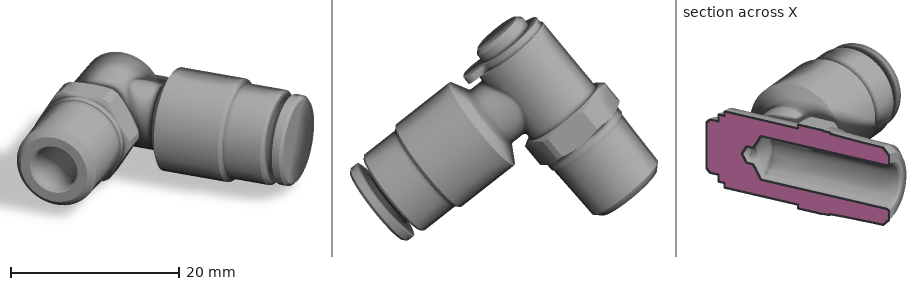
import cadquery as cq
import math


body_radius = 5.0
body_half_length = 5.0
ring_thickness = 0.88
stem_radius = 3.5
stem_end = 7.5
stem_chamfer = 0.52

ring_radius = 4.4
ring_center_x = -0.37
tab_end_x = 6.4
tab_half_width = 2.3
tab_corner_radius = 1.3
tab_root_radius = 1.0

hex_across_flats = 10.95
hex_corner_radius = 6.1
hex_length = 3.53
hex_face_radius = 5.45
hex_chamfer_angle = 30

collar_radius = 5.42
collar_length = 0.9
thread_top_radius = 5.27
thread_tip_radius = 5.05
thread_end = -17.5
thread_chamfer = 0.82

bore_radius = 2.8
bore_mouth_chamfer = 0.25
bore_shoulder_y = 0.0
pilot_radius = 1.05
pilot_length = 0.9
drill_point_angle = 118

neck_radius = 4.02
neck_body_fillet = 0.37
neck_cone_fillet = 0.52
sleeve_diameter = 12.5
sleeve_radius = sleeve_diameter / 2
sleeve_start = 8.35
sleeve_cone_angle = 60
sleeve_end = 16.5
sleeve_step = 0.45
socket_radius = 5.75
socket_end = 22.0
socket_chamfer = 0.3
throat_radius = 4.47
collet_neck_radius = 3.65
collet_neck_start = 22.53
flange_radius = 5.48
flange_start = 23.07
flange_root_fillet = 0.25
flange_end = 24.35
flange_chamfer = 0.37

pick_margin = 0.3

hex_top = -body_half_length
hex_bottom = hex_top - hex_length
collar_bottom = hex_bottom - collar_length
ring_top = body_half_length + ring_thickness


def turn_about_y(points):
    """Solid of revolution about Y from (radius, y) points."""
    return cq.Workplane("XY").polyline(points).close().revolve(360, (0, 0, 0), (0, 1, 0))


def turn_about_x(points):
    """Solid of revolution about X from (x, radius) points."""
    return cq.Workplane("XY").polyline(points).close().revolve(360, (0, 0, 0), (1, 0, 0))


def disc_y(radius, bottom, top):
    """Plain cylinder along Y."""
    return turn_about_y([(0, bottom), (radius, bottom), (radius, top), (0, top)])


def make_stem():
    return turn_about_y([
        (0, 0),
        (stem_radius, 0),
        (stem_radius, stem_end - stem_chamfer),
        (stem_radius - stem_chamfer, stem_end),
        (0, stem_end),
    ])


def make_retaining_ring():
    """Off-center disc with a rounded tab toward +X."""
    base = cq.Workplane("XZ", origin=(ring_center_x, ring_top, 0))
    disc = base.circle(ring_radius).extrude(ring_thickness)
    tab_length = tab_end_x - ring_center_x
    tab = (
        base.center(tab_length / 2, 0)
        .rect(tab_length, 2 * tab_half_width)
        .extrude(ring_thickness)
        .edges("|Y and >X")
        .fillet(tab_corner_radius)
    )
    root_x = ring_center_x + math.sqrt(ring_radius**2 - tab_half_width**2)
    ring = disc.union(tab)
    roots = cq.selectors.BoxSelector(
        (root_x - pick_margin, 0, -ring_radius), (root_x + pick_margin, stem_end, ring_radius)
    )
    return ring.edges("|Y").edges(roots).fillet(tab_root_radius)


def make_hex_nut():
    """Hexagon with turned corners and conical chamfers on both faces."""
    across_corners = hex_across_flats / math.cos(math.pi / 6)
    prism = (
        cq.Workplane("XZ", origin=(0, hex_top, 0))
        .polygon(6, across_corners)
        .extrude(hex_length)
    )
    drop = (hex_corner_radius - hex_face_radius) * math.tan(math.radians(hex_chamfer_angle))
    envelope = turn_about_y([
        (0, hex_bottom),
        (hex_face_radius, hex_bottom),
        (hex_corner_radius, hex_bottom + drop),
        (hex_corner_radius, hex_top - drop),
        (hex_face_radius, hex_top),
        (0, hex_top),
    ])
    return prism.intersect(envelope)


def make_thread():
    return turn_about_y([
        (0, hex_bottom),
        (thread_top_radius, hex_bottom),
        (thread_top_radius, collar_bottom),
        (thread_tip_radius, thread_end + thread_chamfer),
        (thread_tip_radius - thread_chamfer, thread_end),
        (0, thread_end),
    ])


def make_bore():
    """Blind bore with a drill-point shoulder and a short pilot hole beyond it."""
    rise_per_radius = 1 / math.tan(math.radians(drill_point_angle / 2))
    pilot_start = bore_shoulder_y + (bore_radius - pilot_radius) * rise_per_radius
    pilot_end = pilot_start + pilot_length
    return turn_about_y([
        (0, thread_end),
        (bore_radius + bore_mouth_chamfer, thread_end),
        (bore_radius, thread_end + bore_mouth_chamfer),
        (bore_radius, bore_shoulder_y),
        (pilot_radius, pilot_start),
        (pilot_radius, pilot_end),
        (0, pilot_end + pilot_radius * rise_per_radius),
    ])


def make_neck():
    """Neck and conical shoulder, blended where they meet."""
    cone_length = (sleeve_radius - neck_radius) / math.tan(math.radians(sleeve_cone_angle))
    cone_start = sleeve_start - cone_length
    neck = turn_about_x([
        (0, 0),
        (0, neck_radius),
        (cone_start, neck_radius),
        (sleeve_start, sleeve_radius),
        (sleeve_end, sleeve_radius),
        (sleeve_end, 0),
    ])
    blend = cq.selectors.BoxSelector(
        (cone_start - pick_margin, -sleeve_radius, -sleeve_radius),
        (cone_start + pick_margin, sleeve_radius, sleeve_radius),
    )
    return neck.edges("%CIRCLE").edges(blend).fillet(neck_cone_fillet)


def make_socket():
    """Socket end of the connector with the release collet and its flange."""
    socket = turn_about_x([
        (sleeve_end, 0),
        (sleeve_end, sleeve_radius),
        (sleeve_end + sleeve_step, socket_radius),
        (socket_end - socket_chamfer, socket_radius),
        (socket_end, socket_radius - socket_chamfer),
        (socket_end, throat_radius),
        (collet_neck_start, collet_neck_radius),
        (flange_start, collet_neck_radius),
        (flange_start, flange_radius),
        (flange_end - flange_chamfer, flange_radius),
        (flange_end, flange_radius - flange_chamfer),
        (flange_end, 0),
    ])
    flange_root = cq.selectors.BoxSelector(
        (collet_neck_start, -collet_neck_radius - pick_margin, -collet_neck_radius - pick_margin),
        (flange_start + pick_margin, collet_neck_radius + pick_margin, collet_neck_radius + pick_margin),
        boundingbox=True,
    )
    return socket.edges("%CIRCLE").edges(flange_root).edges(">X").fillet(flange_root_fillet)


def make_body_with_neck():
    """Swivel body joined to the neck, with a small fillet along the joint."""
    joined = disc_y(body_radius, -body_half_length, body_half_length).union(make_neck())
    reach = neck_radius + neck_body_fillet
    joint = cq.selectors.BoxSelector(
        (0, -reach, -reach), (body_radius + neck_body_fillet, reach, reach), boundingbox=True
    )
    return joined.edges(joint).fillet(neck_body_fillet)


result = (
    make_body_with_neck()
    .union(make_socket())
    .union(make_stem())
    .union(make_retaining_ring())
    .union(make_hex_nut())
    .union(disc_y(collar_radius, collar_bottom, hex_bottom))
    .union(make_thread())
    .cut(make_bore())
)